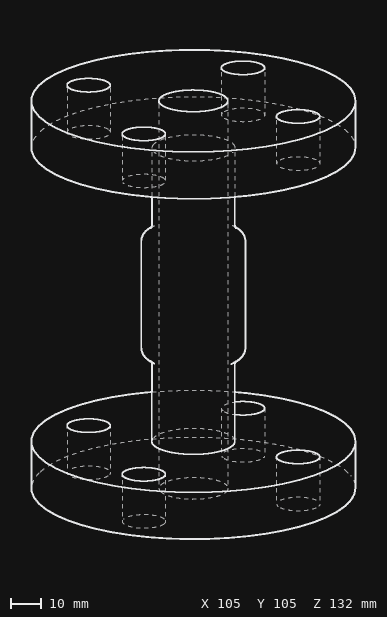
import cadquery as cq

overall_length = 132.0
flange_diameter = 105.0
flange_thickness = 16.0
pipe_diameter = 26.9
bore_diameter = 22.3
sleeve_diameter = 33.8
sleeve_straight_length = 36.2
shoulder_length = 5.5
convex_share = 0.47
bolt_circle_diameter = 75.0
bolt_hole_diameter = 14.0
bolt_count = 4
first_bolt_angle = 45.0

flange_radius = flange_diameter / 2
pipe_radius = pipe_diameter / 2
sleeve_radius = sleeve_diameter / 2

end_z = overall_length / 2
flange_inner_z = end_z - flange_thickness
sleeve_straight_z = sleeve_straight_length / 2
sleeve_end_z = sleeve_straight_z + shoulder_length

arc_joint_radius = sleeve_radius - convex_share * (sleeve_radius - pipe_radius)
arc_joint_z = sleeve_straight_z + convex_share * shoulder_length


def make_turned_body():
    """Revolve both flanges, the pipe and the sleeve about the Z axis as one solid bar."""
    return (
        cq.Workplane("XZ")
        .moveTo(0, -end_z)
        .lineTo(flange_radius, -end_z)
        .lineTo(flange_radius, -flange_inner_z)
        .lineTo(pipe_radius, -flange_inner_z)
        .lineTo(pipe_radius, -sleeve_end_z)
        .tangentArcPoint((arc_joint_radius, -arc_joint_z), relative=False)
        .tangentArcPoint((sleeve_radius, -sleeve_straight_z), relative=False)
        .lineTo(sleeve_radius, sleeve_straight_z)
        .tangentArcPoint((arc_joint_radius, arc_joint_z), relative=False)
        .tangentArcPoint((pipe_radius, sleeve_end_z), relative=False)
        .lineTo(pipe_radius, flange_inner_z)
        .lineTo(flange_radius, flange_inner_z)
        .lineTo(flange_radius, end_z)
        .lineTo(0, end_z)
        .close()
        .revolve(360, (0, 0, 0), (0, 1, 0))
    )


def make_bore():
    """Straight flow passage through the whole length."""
    return (
        cq.Workplane("XY", origin=(0, 0, -end_z))
        .circle(bore_diameter / 2)
        .extrude(overall_length)
    )


def make_bolt_holes():
    """Full-length cylinders that pierce both flanges and pass clear of the sleeve."""
    return (
        cq.Workplane("XY", origin=(0, 0, -end_z))
        .polarArray(bolt_circle_diameter / 2, first_bolt_angle, 360, bolt_count)
        .circle(bolt_hole_diameter / 2)
        .extrude(overall_length)
    )


result = make_turned_body().cut(make_bore()).cut(make_bolt_holes())